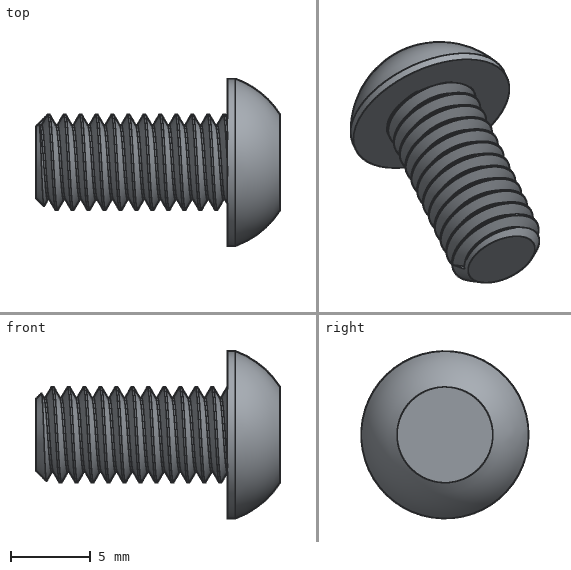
import cadquery as cq
import math


shank_length = 12.0
thread_diameter = 6.0
tip_diameter = 4.5

pitch = 1.0
root_diameter = 4.7
flank_half_angle = math.radians(30.0)
thread_start = 0.3

head_diameter = 10.5
head_height = 3.3
rim_height = 0.5
head_face_diameter = 6.0

groove_overshoot = 0.05
groove_runout = pitch / 2
core_extension = pitch

thread_radius = thread_diameter / 2
root_radius = root_diameter / 2
tip_radius = tip_diameter / 2
head_radius = head_diameter / 2
head_face_radius = head_face_diameter / 2


def make_rod():
    """Plain rod with a 45 degree point, long enough to run on into the head."""
    point_length = thread_radius - tip_radius
    rod = cq.Workplane("XY").circle(thread_radius).extrude(shank_length + core_extension)
    return rod.faces("<Z").chamfer(point_length)


def make_thread_groove():
    """Cutter for a right-hand thread whose crest and root flats are equally wide."""
    flank_length = (thread_radius - root_radius) * math.tan(flank_half_angle)
    root_half_width = (pitch - 2 * flank_length) / 4
    outer_radius = thread_radius + groove_overshoot
    outer_half_width = root_half_width + (outer_radius - root_radius) * math.tan(flank_half_angle)

    helix_height = shank_length + groove_runout - thread_start
    helix_base = cq.Vector(0, 0, thread_start)
    helix = cq.Wire.makeHelix(pitch, helix_height, root_radius, center=helix_base)
    return (
        cq.Workplane("XZ")
        .polyline(
            [
                (root_radius, thread_start + root_half_width),
                (outer_radius, thread_start + outer_half_width),
                (outer_radius, thread_start - outer_half_width),
                (root_radius, thread_start - root_half_width),
            ]
        )
        .close()
        .sweep(cq.Workplane(obj=helix), isFrenet=True)
    )


def make_head():
    """Rim and flat-ended spherical dome, bored to take the end of the threaded rod."""
    core_top = shank_length + core_extension
    rim_top = shank_length + rim_height
    head_top = shank_length + head_height

    dome_height = head_top - rim_top
    dome_middle = (rim_top + head_top) / 2
    dome_centre = dome_middle - (head_radius**2 - head_face_radius**2) / (2 * dome_height)
    dome_radius = math.hypot(head_radius, rim_top - dome_centre)
    dome_middle_radius = math.sqrt(dome_radius**2 - (dome_middle - dome_centre) ** 2)

    return (
        cq.Workplane("XZ")
        .moveTo(0, core_top)
        .lineTo(thread_radius, core_top)
        .lineTo(thread_radius, shank_length)
        .lineTo(head_radius, shank_length)
        .lineTo(head_radius, rim_top)
        .threePointArc((dome_middle_radius, dome_middle), (head_face_radius, head_top))
        .lineTo(0, head_top)
        .close()
        .revolve(360, (0, 0, 0), (0, 1, 0))
    )


screw = make_rod().cut(make_thread_groove()).union(make_head())

result = screw.rotate((0, 0, 0), (1, 1, 1), 120)